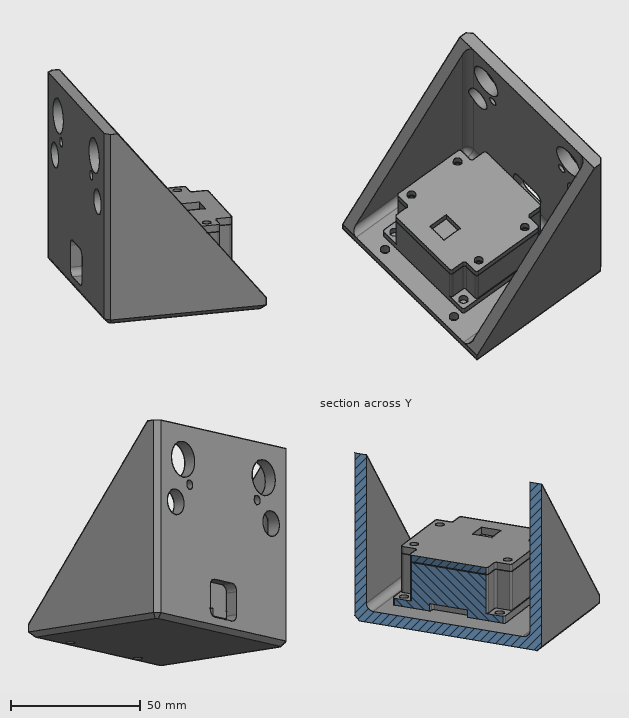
import cadquery as cq

WIDTH = 80.0
DEPTH = 65.0
HEIGHT = 78.0
WALL = 5.0
OUTER_CHAMFER = 2.0
INNER_FILLET = 3.0

MOUNT_DIAMETER = 3.6
MOUNT_HALF_SPACING = 20.5
FRONT_HOLES = [
    (14.0, 24.5, 64.5),
    (MOUNT_DIAMETER, MOUNT_HALF_SPACING, 55.0),
    (10.0, 29.0, 47.0),
]
FRONT_HOLE_LENGTH = WALL + INNER_FILLET
FLOOR_HOLE_Y = 60.0

OPENING_WIDTH = 16.0
OPENING_TOP = 20.0

CENTER_X = 0.2
CENTER_Y = 35.0
PLATE_WIDTH = 48.0
PLATE_DEPTH = 46.2
PLATE_BOTTOM = 9.0
PLATE_TOP = 12.0
BLOCK_WIDTH = 47.4
BLOCK_TOP = 28.0
CORNER_RADIUS = 1.0
NOTCH_SIZE = 7.0
PLATE_HOLE_SPACING_Y = 40.0

RECESS_WIDTH = 16.0
RECESS_DEPTH = 2.4

LID_GAP = 0.2
LID_BOTTOM = BLOCK_TOP + LID_GAP
LID_TOP = 31.0
LID_HOLE_DIAMETER = 3.4
PILOT_DIAMETER = 2.6
PILOT_DEPTH = 6.4
PILOT_TIP_HEIGHT = 0.8
SCREW_SPACING_X = 40.0
SCREW_SPACING_Y = 23.5
WINDOW_SIZE = 8.3


def bracket_shell():
    """Chamfered outer wedge with the space between the walls cut out."""
    outer = cq.Workplane("XY").box(WIDTH, DEPTH, HEIGHT, centered=(True, False, False))
    outer = outer.edges("|Z and <Y").chamfer(OUTER_CHAMFER)
    outer = outer.faces("<Z").edges().chamfer(OUTER_CHAMFER)

    inner_width = WIDTH - 2 * WALL
    cavity = (
        cq.Workplane("XY")
        .box(inner_width, 2 * DEPTH, 2 * HEIGHT, centered=(True, False, False))
        .translate((0, WALL, WALL))
    )
    cavity = cavity.edges("(|Z and <Y) or <Z").edges("not(>Y)").fillet(INNER_FILLET)

    above_slope = (
        cq.Workplane("YZ")
        .moveTo(WALL, HEIGHT)
        .lineTo(DEPTH, WALL)
        .lineTo(DEPTH, HEIGHT)
        .close()
        .extrude(WIDTH, both=True)
    )
    return outer.cut(cavity).cut(above_slope)


def front_holes():
    """Mirrored pairs of round holes through the front plate and its inner fillets."""
    holes = cq.Workplane("XY")
    for diameter, half_spacing, height in FRONT_HOLES:
        for x in (-half_spacing, half_spacing):
            hole = cq.Workplane("XZ").center(x, height).circle(diameter / 2).extrude(-FRONT_HOLE_LENGTH)
            holes = holes.add(hole)
    return holes.combine()


def floor_holes():
    """Pair of mounting holes through the floor, near its rear edge."""
    places = [(-MOUNT_HALF_SPACING, FLOOR_HOLE_Y), (MOUNT_HALF_SPACING, FLOOR_HOLE_Y)]
    return cq.Workplane("XY").pushPoints(places).circle(MOUNT_DIAMETER / 2).extrude(WALL)


def cable_opening():
    """Rounded opening that runs through the front plate and its inner fillet."""
    height = OPENING_TOP - WALL
    length = WALL + INNER_FILLET
    opening = cq.Workplane("XY").box(OPENING_WIDTH, length, height, centered=(True, False, False))
    return opening.edges("|Y").fillet(INNER_FILLET).translate((0, 0, WALL))


def make_bracket():
    return bracket_shell().cut(front_holes()).cut(floor_holes()).cut(cable_opening())


def centered_box(width, depth, bottom, top):
    """Box on the common axis of the housing and its lid."""
    box = cq.Workplane("XY").box(width, depth, top - bottom, centered=(True, True, False))
    return box.translate((CENTER_X, CENTER_Y, bottom))


def hole_grid(spacing_x, spacing_y, diameter, bottom, top):
    """Four round cutters at the corners of a rectangle."""
    return (
        cq.Workplane("XY", origin=(CENTER_X, CENTER_Y, bottom))
        .rect(spacing_x, spacing_y, forConstruction=True)
        .vertices()
        .circle(diameter / 2)
        .extrude(top - bottom)
    )


def notched_block(bottom, top):
    """Block with a square notch at each corner and all its upright edges rounded."""
    across = centered_box(BLOCK_WIDTH, PLATE_DEPTH - 2 * NOTCH_SIZE, bottom, top)
    along = centered_box(BLOCK_WIDTH - 2 * NOTCH_SIZE, PLATE_DEPTH, bottom, top)
    return across.union(along).edges("|Z").fillet(CORNER_RADIUS)


def plate_recess():
    """Slot with rounded inner corners in the front edge of the base plate."""
    front_y = CENTER_Y - PLATE_DEPTH / 2
    slot = (
        cq.Workplane("XY")
        .box(RECESS_WIDTH, RECESS_DEPTH, PLATE_TOP - PLATE_BOTTOM, centered=(True, False, False))
        .edges("|Z and >Y")
        .fillet(CORNER_RADIUS)
    )
    return slot.translate((CENTER_X, front_y, PLATE_BOTTOM))


def pilot_holes():
    """Blind screw holes with conical ends in the top of the block."""
    floor_z = BLOCK_TOP - PILOT_DEPTH
    shafts = hole_grid(SCREW_SPACING_X, SCREW_SPACING_Y, PILOT_DIAMETER, floor_z, BLOCK_TOP)
    tip = cq.Solid.makeCone(0, PILOT_DIAMETER / 2, PILOT_TIP_HEIGHT)
    tips = (
        cq.Workplane("XY", origin=(CENTER_X, CENTER_Y, floor_z - PILOT_TIP_HEIGHT))
        .rect(SCREW_SPACING_X, SCREW_SPACING_Y, forConstruction=True)
        .vertices()
        .eachpoint(lambda place: tip.moved(place))
    )
    return shafts.union(tips)


def make_housing():
    plate = centered_box(PLATE_WIDTH, PLATE_DEPTH, PLATE_BOTTOM, PLATE_TOP)
    plate = plate.edges("|Z").fillet(CORNER_RADIUS)
    corner_holes = hole_grid(
        2 * MOUNT_HALF_SPACING, PLATE_HOLE_SPACING_Y, MOUNT_DIAMETER, PLATE_BOTTOM, PLATE_TOP
    )
    plate = plate.cut(corner_holes).cut(plate_recess())
    return plate.union(notched_block(PLATE_TOP, BLOCK_TOP)).cut(pilot_holes())


def make_lid():
    screw_holes = hole_grid(SCREW_SPACING_X, SCREW_SPACING_Y, LID_HOLE_DIAMETER, LID_BOTTOM, LID_TOP)
    window = centered_box(WINDOW_SIZE, WINDOW_SIZE, LID_BOTTOM, LID_TOP)
    window = window.translate((0, SCREW_SPACING_Y / 2, 0))
    return notched_block(LID_BOTTOM, LID_TOP).cut(screw_holes).cut(window)


bracket = make_bracket()
housing = make_housing()
lid = make_lid()

result = cq.Compound.makeCompound([bracket.val(), housing.val(), lid.val()])